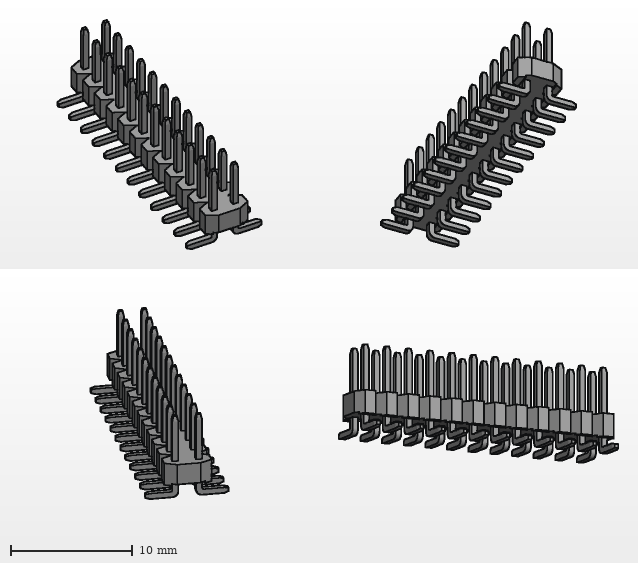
import cadquery as cq


length = 24.0
columns = 12
total_height = 7.25
foot_span = 7.0

pitch = length / columns
body_depth = 2 * pitch
body_height = 1.95
body_bottom = 1.3
cell_corner = pitch / 4
cell_bevel = pitch / 2
channel_width = 2.8
channel_height = 0.15

pin_width = 0.5
bend_inner_radius = 0.17
bend_outer_radius = pin_width
top_tip_length = 0.43
foot_tip_length = 0.38
tip_width = 0.3
row_y = pitch / 2


def make_cell():
    """One body cell: a block with its four vertical corners cut on a slant."""
    half_x = pitch / 2
    half_y = body_depth / 2
    flat_x = half_x - cell_corner
    flat_y = half_y - cell_bevel
    outline = [
        (-flat_x, -half_y),
        (flat_x, -half_y),
        (half_x, -flat_y),
        (half_x, flat_y),
        (flat_x, half_y),
        (-flat_x, half_y),
        (-half_x, flat_y),
        (-half_x, -flat_y),
    ]
    return cq.Workplane("XY").workplane(offset=body_bottom).polyline(outline).close().extrude(body_height)


def make_channel():
    """Lengthwise clearance channel under the body."""
    return (
        cq.Workplane("XY")
        .workplane(offset=body_bottom)
        .rect(length, channel_width)
        .extrude(channel_height)
    )


def make_tip(base, tip_length):
    """Tapered tip from the pin section to the smaller end face."""
    return (
        base.rect(pin_width, pin_width)
        .workplane(offset=tip_length)
        .rect(tip_width, tip_width)
        .loft(ruled=True)
    )


def make_pin():
    """One L-shaped pin at X = 0 in the +Y row, its foot pointing toward +Y."""
    inner_y = row_y - pin_width / 2
    outer_y = row_y + pin_width / 2
    shank_top = total_height - top_tip_length
    foot_end = foot_span / 2 - foot_tip_length
    profile = (
        cq.Workplane("YZ")
        .moveTo(inner_y, shank_top)
        .lineTo(inner_y, bend_outer_radius)
        .radiusArc((inner_y + bend_outer_radius, 0), -bend_outer_radius)
        .lineTo(foot_end, 0)
        .lineTo(foot_end, pin_width)
        .lineTo(outer_y + bend_inner_radius, pin_width)
        .radiusArc((outer_y, pin_width + bend_inner_radius), bend_inner_radius)
        .lineTo(outer_y, shank_top)
        .close()
    )
    shank = profile.extrude(pin_width / 2, both=True)
    top_plane = cq.Plane(origin=(0, row_y, shank_top), xDir=(1, 0, 0), normal=(0, 0, 1))
    foot_plane = cq.Plane(origin=(0, foot_end, pin_width / 2), xDir=(1, 0, 0), normal=(0, 1, 0))
    top_tip = make_tip(cq.Workplane(top_plane), top_tip_length)
    foot_tip = make_tip(cq.Workplane(foot_plane), foot_tip_length)
    return shank.union(top_tip).union(foot_tip)


column_x = [(column - (columns - 1) / 2) * pitch for column in range(columns)]

cell = make_cell()
body = cq.Workplane("XY")
for x in column_x:
    body = body.union(cell.translate((x, 0, 0)))
body = body.cut(make_channel())

back_pin = make_pin()
front_pin = back_pin.mirror("XZ")
result = body
for x in column_x:
    result = result.union(back_pin.translate((x, 0, 0)))
    result = result.union(front_pin.translate((x, 0, 0)))